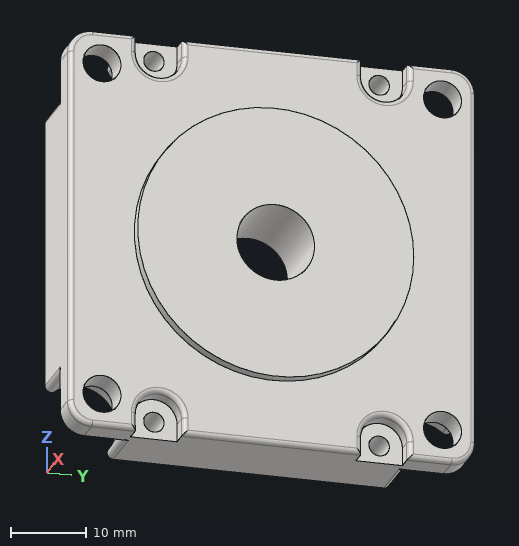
import cadquery as cq

plate_side = 56.18
total_depth = 12.93
boss_height = 1.6
plate_depth = total_depth - boss_height
corner_radius = 3.3
back_edge_radius = 0.7

boss_diameter = 38.1
bore_diameter = 10.7

mount_spacing = 47.0
mount_hole_diameter = 5.2
pocket_diameter = 10.5
pocket_depth = 7.2
pocket_lip_radius = 0.85

screw_spacing_y = 31.1
screw_spacing_z = 51.3
screw_hole_diameter = 2.8
notch_width = 6.4
notch_depth = 2.75

half_side = plate_side / 2
mount_offset = mount_spacing / 2
screw_offset_y = screw_spacing_y / 2
screw_offset_z = screw_spacing_z / 2
SIGNS = (-1, 1)


def plane_at(x):
    """Workplane at depth x, with local axes along Y and Z and normal +X."""
    return cq.Workplane("YZ", origin=(x, 0, 0))


def flange():
    """Rear layer of the plate, with rounded corners."""
    layer = plane_at(pocket_depth).rect(plate_side, plate_side).extrude(plate_depth - pocket_depth)
    return layer.edges("|X").fillet(corner_radius)


def front_block():
    """Front layer of the plate, with open corner pockets whose lips are rounded."""
    block = plane_at(0).rect(plate_side, plate_side).extrude(pocket_depth)
    pockets = plane_at(0).rect(mount_spacing, mount_spacing, forConstruction=True).vertices()
    block = block.cut(pockets.circle(pocket_diameter / 2).extrude(pocket_depth))
    block = cq.Workplane(max(block.solids().vals(), key=lambda solid: solid.Volume()))
    return block.edges("|X").fillet(pocket_lip_radius)


def notch(side_y, side_z):
    """U-shaped relief around one screw hole, open towards the Z edge."""
    floor = plane_at(plate_depth - notch_depth)
    centre_y = side_y * screw_offset_y
    centre_z = side_z * screw_offset_z
    round_end = floor.center(centre_y, centre_z).circle(notch_width / 2).extrude(notch_depth)
    mouth = floor.center(centre_y, centre_z + side_z * notch_width / 2)
    return round_end.union(mouth.rect(notch_width, notch_width).extrude(notch_depth))


def cut_holes(body, spacing_y, spacing_z, diameter):
    """Drill a through hole at each corner of a centred rectangle."""
    centres = plane_at(0).rect(spacing_y, spacing_z, forConstruction=True).vertices()
    return body.cut(centres.circle(diameter / 2).extrude(total_depth))


back = flange()
for side_y in SIGNS:
    for side_z in SIGNS:
        back = back.cut(notch(side_y, side_z))
back = back.faces(">X").edges().fillet(back_edge_radius)

body = back.union(front_block())
body = body.union(plane_at(plate_depth).circle(boss_diameter / 2).extrude(boss_height))
body = cut_holes(body, mount_spacing, mount_spacing, mount_hole_diameter)
body = cut_holes(body, screw_spacing_y, screw_spacing_z, screw_hole_diameter)
result = body.cut(plane_at(0).circle(bore_diameter / 2).extrude(total_depth))